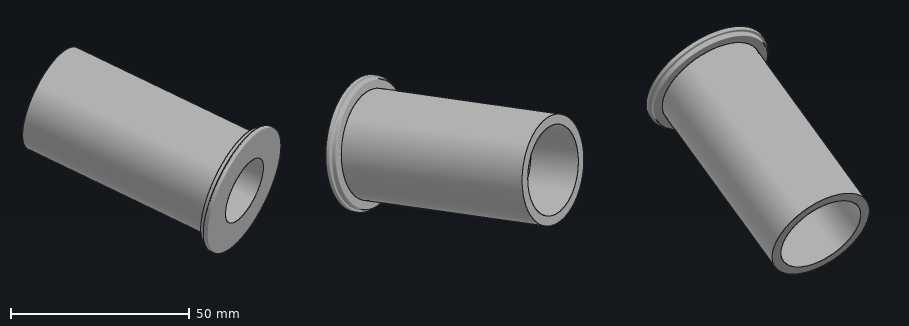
import cadquery as cq

total_length = 63.5
tube_diameter = 31.75

shoulder_diameter = 37.0
shoulder_width = 1.45
rim_diameter = 39.0
rim_width = 1.5
edge_radius = 0.205
root_radius = 0.3

inlet_diameter = 26.0
outlet_diameter = 20.0
inlet_depth = 15.9
taper_length = (inlet_diameter - outlet_diameter) / 2

rim_start = total_length - rim_width
shoulder_start = rim_start - shoulder_width


def disc(start, width, diameter):
    """Cylinder around the X axis, beginning at x = start."""
    return cq.Workplane("YZ", origin=(start, 0, 0)).circle(diameter / 2).extrude(width)


def make_flange():
    """Shoulder and rim with a concave root between them and rounded outer edges."""
    shoulder = disc(shoulder_start, shoulder_width, shoulder_diameter)
    rim = disc(rim_start, rim_width, rim_diameter)
    flange = shoulder.union(rim)
    root_edge = flange.edges("%CIRCLE").edges("not <X").edges(cq.selectors.RadiusNthSelector(0))
    flange = root_edge.fillet(root_radius)
    flange = flange.edges("<X").fillet(edge_radius)
    rim_edges = flange.edges("%CIRCLE").edges(cq.selectors.RadiusNthSelector(-1))
    return rim_edges.fillet(edge_radius)


def make_bore():
    """Straight inlet narrowing through a cone to the outlet."""
    profile = [
        (0, 0),
        (0, inlet_diameter / 2),
        (inlet_depth, inlet_diameter / 2),
        (inlet_depth + taper_length, outlet_diameter / 2),
        (total_length, outlet_diameter / 2),
        (total_length, 0),
    ]
    return cq.Workplane("XY").polyline(profile).close().revolve(360, (0, 0, 0), (1, 0, 0))


tube = disc(0, total_length, tube_diameter)
result = tube.union(make_flange()).cut(make_bore())